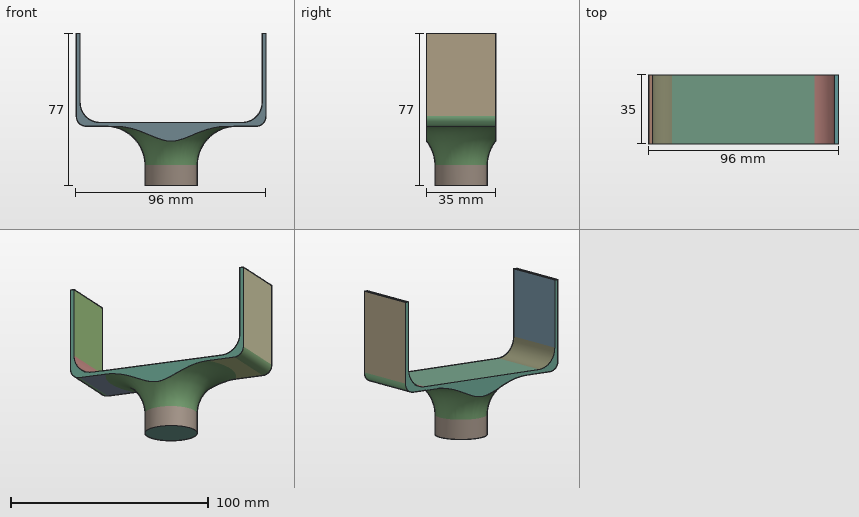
import cadquery as cq

width = 96.0
depth = 35.0
total_height = 77.0
wall = 2.0
outer_corner_radius = 5.0
inner_corner_radius = 10.0

stem_diameter = 26.5
stem_height = 10.2
flare_radius = 19.8

stem_radius = stem_diameter / 2
floor_bottom = stem_height + flare_radius
floor_top = floor_bottom + wall
channel_height = total_height - floor_bottom


def make_channel():
    outer = (
        cq.Workplane("XY")
        .box(width, depth, channel_height, centered=(True, True, False))
        .edges("|Y and <Z")
        .fillet(outer_corner_radius)
    )
    cavity = (
        cq.Workplane("XY")
        .box(width - 2 * wall, depth, channel_height - wall, centered=(True, True, False))
        .edges("|Y and <Z")
        .fillet(inner_corner_radius)
        .translate((0, 0, wall))
    )
    return outer.cut(cavity).translate((0, 0, floor_bottom))


def make_flared_stem():
    """Revolve the stem and its concave flare, then trim it to the channel depth."""
    flare_rim = stem_radius + flare_radius
    diagonal = flare_radius * 0.5 ** 0.5
    overlap_top = (floor_bottom + floor_top) / 2
    stem = (
        cq.Workplane("XZ")
        .lineTo(stem_radius, 0)
        .lineTo(stem_radius, stem_height)
        .threePointArc(
            (flare_rim - diagonal, stem_height + diagonal),
            (flare_rim, floor_bottom),
        )
        .lineTo(flare_rim, overlap_top)
        .lineTo(0, overlap_top)
        .close()
        .revolve(360, (0, 0, 0), (0, 1, 0))
    )
    depth_slab = cq.Workplane("XY").box(width, depth, total_height, centered=(True, True, False))
    return stem.intersect(depth_slab)


result = make_channel().union(make_flared_stem())